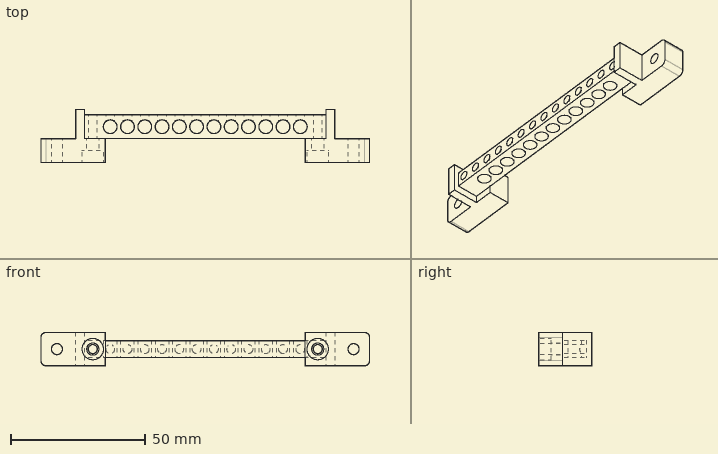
import cadquery as cq

TOTAL_LENGTH = 122.5
TOTAL_DEPTH = 19.9
HEIGHT = 12.5

BLOCK_LENGTH = 24.0
BLOCK_DEPTH = 9.0
CORNER_RADIUS = 2.0
RIB_THICKNESS = 3.3
RIB_OFFSET = 13.0
MOUNT_HOLE_DIAMETER = 4.0
MOUNT_HOLE_OFFSET = 6.0
SCREW_CLEARANCE_DIAMETER = 4.5
COUNTERBORE_DIAMETER = 8.0
COUNTERBORE_DEPTH = 4.5

SCREW_X = 41.9

BAR_DEPTH = 9.0
BAR_HEIGHT = 6.4
BAR_HOLE_COUNT = 12
BAR_HOLE_DIAMETER = 5.0
BAR_HOLE_ROW_LENGTH = 70.8
SCREW_HOLE_DIAMETER = 3.3
CLAMP_HOLE_DIAMETER = 3.3

END_X = TOTAL_LENGTH / 2
RIB_DEPTH = TOTAL_DEPTH - BLOCK_DEPTH
RIB_INNER_X = END_X - RIB_OFFSET - RIB_THICKNESS
BAR_LENGTH = 2 * RIB_INNER_X
BAR_HOLE_PITCH = BAR_HOLE_ROW_LENGTH / (BAR_HOLE_COUNT - 1)
MOUNT_HOLE_X = END_X - MOUNT_HOLE_OFFSET


def cylinder_along_y(diameter, x, start_y, length):
    """Cylinder on Z = 0 that runs from start_y toward +Y."""
    axis_start = cq.Vector(x, start_y, 0)
    return cq.Workplane(cq.Solid.makeCylinder(diameter / 2, length, axis_start, cq.Vector(0, 1, 0)))


def make_bracket(side):
    """End bracket at the +X end (side = 1) or the -X end (side = -1)."""
    block = (
        cq.Workplane()
        .box(BLOCK_LENGTH, BLOCK_DEPTH, HEIGHT)
        .translate((side * (END_X - BLOCK_LENGTH / 2), -BLOCK_DEPTH / 2, 0))
    )
    outer_face = ">X" if side > 0 else "<X"
    block = block.faces(outer_face).edges("|Y").fillet(CORNER_RADIUS)

    rib_x = RIB_INNER_X + RIB_THICKNESS / 2
    rib = (
        cq.Workplane()
        .box(RIB_THICKNESS, RIB_DEPTH, HEIGHT)
        .translate((side * rib_x, RIB_DEPTH / 2, 0))
    )

    mount_hole = cylinder_along_y(MOUNT_HOLE_DIAMETER, side * MOUNT_HOLE_X, -BLOCK_DEPTH, BLOCK_DEPTH)
    clearance = cylinder_along_y(SCREW_CLEARANCE_DIAMETER, side * SCREW_X, -BLOCK_DEPTH, BLOCK_DEPTH)
    counterbore = cylinder_along_y(COUNTERBORE_DIAMETER, side * SCREW_X, -BLOCK_DEPTH, COUNTERBORE_DEPTH)
    return block.union(rib).cut(mount_hole).cut(clearance).cut(counterbore)


def make_bar():
    """Bar with a row of vertical holes, a clamp hole into each from the back, and end screw holes."""
    bar = (
        cq.Workplane()
        .box(BAR_LENGTH, BAR_DEPTH, BAR_HEIGHT)
        .faces(">Z")
        .workplane()
        .rarray(BAR_HOLE_PITCH, 1.2, BAR_HOLE_COUNT, 1)
        .hole(BAR_HOLE_DIAMETER)
        .translate((0, BAR_DEPTH / 2, 0))
    )
    for side in (-1, 1):
        bar = bar.cut(cylinder_along_y(SCREW_HOLE_DIAMETER, side * SCREW_X, 0, BAR_DEPTH))
    for index in range(BAR_HOLE_COUNT):
        hole_x = index * BAR_HOLE_PITCH - BAR_HOLE_ROW_LENGTH / 2
        bar = bar.cut(cylinder_along_y(CLAMP_HOLE_DIAMETER, hole_x, BAR_DEPTH / 2, BAR_DEPTH / 2))
    return bar


bar = make_bar()
brackets = [make_bracket(side) for side in (-1, 1)]

result = cq.Compound.makeCompound([bar.val(), *[bracket.val() for bracket in brackets]])